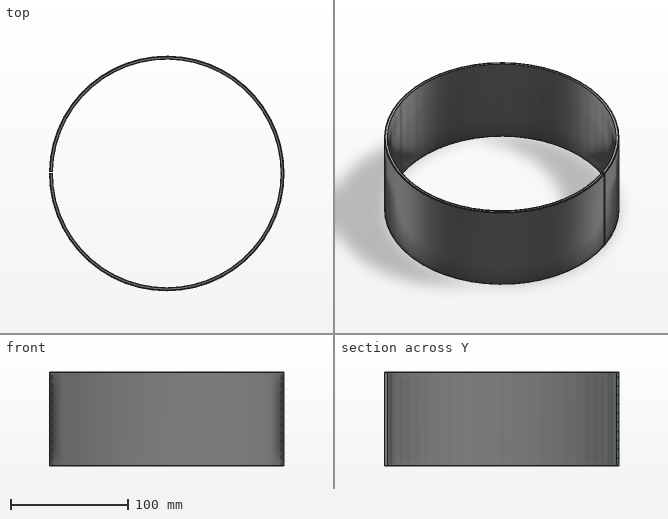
import cadquery as cq

outer_diameter = 200.0
inner_diameter = 195.0
height = 80.0
edge_chamfer = 0.5
slit_width = 1.5

outer_radius = outer_diameter / 2
inner_radius = inner_diameter / 2
wall = outer_radius - inner_radius

ring = (
    cq.Workplane("XY")
    .circle(outer_radius)
    .extrude(height)
    .edges()
    .chamfer(edge_chamfer)
    .faces(">Z")
    .workplane()
    .circle(inner_radius)
    .cutThruAll()
)

slit = (
    cq.Workplane("XY")
    .center(-outer_radius, slit_width / 2)
    .rect(4 * wall, slit_width)
    .extrude(height)
)

result = ring.cut(slit)